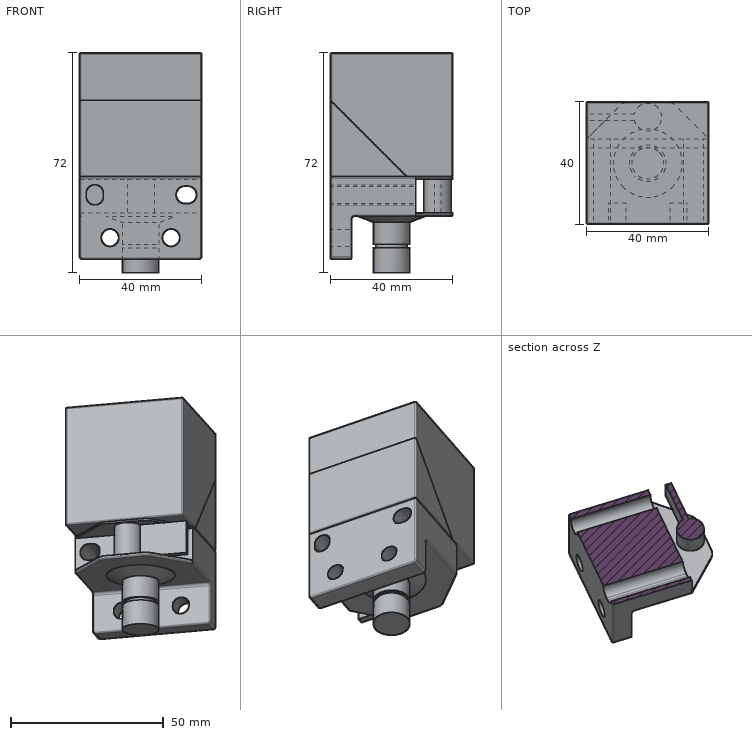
import cadquery as cq

WIDTH = 40.0
HALF = WIDTH / 2
TOTAL_HEIGHT = 72
HEAD_BOTTOM = -40.5
EDGE_RADIUS = 0.5

JOINT_FRONT_Z = -15.5

BLOCK_BOTTOM = -53.4
LEG_BOTTOM = -67.5
LEG_THICKNESS = 7.0
CORNER_CUT = 12.1
REAR_CORNER_RADIUS = 4.0
LEG_INNER_RADIUS = 1.0
LEG_CORNER_RADIUS = 1.0

HOLE_DIAMETER = 5.6
LOWER_HOLE_X = 10.0
LOWER_HOLE_Z = -60.5
SLOT_LENGTH = 6.6
UPPER_HOLE_X = 15.0
UPPER_HOLE_Z = -46.45

LEVER_TOP = -41.4
LEVER_BOTTOM = -52.35
LEVER_HUB_DIAMETER = 9.1
LEVER_HUB_Y = 15.05
LEVER_PLATE_THICKNESS = 2.1

CONE_RADIUS = 11.2
CONE_BOTTOM = -55.45
PLUG_RADIUS = 6.0
GROOVE_RADIUS = 5.2
GROOVE_TOP = -62.65
GROOVE_BOTTOM = -63.8


def make_head_cube():
    """Whole head with all edges rounded, before it is split at the joint."""
    height = -HEAD_BOTTOM
    cube = cq.Workplane("XY").box(WIDTH, WIDTH, height, centered=(True, True, False))
    return cube.translate((0, 0, HEAD_BOTTOM)).edges().fillet(EDGE_RADIUS)


def make_joint_prism():
    """Triangular prism below the 45 degree joint plane."""
    joint_rise = JOINT_FRONT_Z - HEAD_BOTTOM
    corners = [
        (-HALF, HEAD_BOTTOM),
        (-HALF + joint_rise, HEAD_BOTTOM),
        (-HALF, JOINT_FRONT_Z),
    ]
    return cq.Workplane("YZ").polyline(corners).close().extrude(HALF, both=True)


def make_upper_head():
    return make_head_cube().cut(make_joint_prism())


def make_wedge():
    return make_head_cube().intersect(make_joint_prism())


def make_base_block():
    """L-shaped block with 45 degree rear corners and rounded edges."""
    footprint = [
        (-HALF, -HALF),
        (HALF, -HALF),
        (HALF, HALF - CORNER_CUT),
        (HALF - CORNER_CUT, HALF),
        (CORNER_CUT - HALF, HALF),
        (-HALF, HALF - CORNER_CUT),
    ]
    block = (
        cq.Workplane("XY", origin=(0, 0, LEG_BOTTOM))
        .polyline(footprint).close()
        .extrude(HEAD_BOTTOM - LEG_BOTTOM)
    )
    block = block.faces(">Y").edges("|Z").fillet(REAR_CORNER_RADIUS)

    leg_rear_y = LEG_THICKNESS - HALF
    space_behind_leg = (
        cq.Workplane("XY", origin=(0, leg_rear_y, LEG_BOTTOM))
        .box(WIDTH, WIDTH, BLOCK_BOTTOM - LEG_BOTTOM, centered=(True, False, False))
        .edges("|X and >Z and <Y").fillet(LEG_INNER_RADIUS)
    )
    block = block.cut(space_behind_leg)
    block = block.faces("<Z").edges("|Y").fillet(LEG_CORNER_RADIUS)

    front_and_top = block.faces("<Y or >Z").edges()
    return front_and_top.fillet(EDGE_RADIUS)


def round_underside(block):
    """Round the rear edges of the leg and the lower rim of the block."""
    lower_rear_space = cq.selectors.BoxSelector(
        (-WIDTH, LEG_THICKNESS - HALF - EDGE_RADIUS, -TOTAL_HEIGHT),
        (WIDTH, WIDTH, BLOCK_BOTTOM + EDGE_RADIUS),
    )
    outer_edges = block.edges(lower_rear_space).edges("(not |X) or >Y or <Z")
    return outer_edges.fillet(EDGE_RADIUS)


def make_hole_cutters():
    """Two round holes and two slots, the left slot upright and the right one level."""
    face = cq.Workplane("XZ", origin=(0, -HALF, 0))
    round_holes = (
        face.pushPoints([(-LOWER_HOLE_X, LOWER_HOLE_Z), (LOWER_HOLE_X, LOWER_HOLE_Z)])
        .circle(HOLE_DIAMETER / 2).extrude(-WIDTH)
    )
    left_slot = (
        face.pushPoints([(-UPPER_HOLE_X, UPPER_HOLE_Z)])
        .slot2D(SLOT_LENGTH, HOLE_DIAMETER, 90).extrude(-WIDTH)
    )
    right_slot = (
        face.pushPoints([(UPPER_HOLE_X, UPPER_HOLE_Z)])
        .slot2D(SLOT_LENGTH, HOLE_DIAMETER).extrude(-WIDTH)
    )
    return round_holes.union(left_slot).union(right_slot)


def make_lever_gap():
    """Space between the two rear flanges."""
    return (
        cq.Workplane("XY", origin=(0, HALF - CORNER_CUT, LEVER_BOTTOM))
        .box(WIDTH, CORNER_CUT, LEVER_TOP - LEVER_BOTTOM, centered=(True, False, False))
    )


def make_lever():
    """Round hub with a flat plate that reaches to the left side."""
    height = LEVER_TOP - LEVER_BOTTOM
    floor = cq.Workplane("XY", origin=(0, LEVER_HUB_Y, LEVER_BOTTOM))
    hub = floor.circle(LEVER_HUB_DIAMETER / 2).extrude(height)
    plate = floor.center(-HALF / 2, 0).rect(HALF, LEVER_PLATE_THICKNESS).extrude(height)
    return hub.union(plate)


def make_connector():
    """Cone and round plug with a groove, turned about the Z axis."""
    half_section = [
        (0, BLOCK_BOTTOM),
        (CONE_RADIUS, BLOCK_BOTTOM),
        (PLUG_RADIUS, CONE_BOTTOM),
        (PLUG_RADIUS, GROOVE_TOP),
        (GROOVE_RADIUS, GROOVE_TOP),
        (GROOVE_RADIUS, GROOVE_BOTTOM),
        (PLUG_RADIUS, GROOVE_BOTTOM),
        (PLUG_RADIUS, -TOTAL_HEIGHT),
        (0, -TOTAL_HEIGHT),
    ]
    return cq.Workplane("XZ").polyline(half_section).close().revolve(360, (0, 0, 0), (0, 1, 0))


def make_base():
    base = round_underside(make_base_block())
    base = base.cut(make_hole_cutters()).cut(make_lever_gap())
    return base.union(make_lever()).union(make_connector())


upper_head = make_upper_head()
wedge = make_wedge()
base = make_base()

result = cq.Compound.makeCompound([upper_head.val(), wedge.val(), base.val()])